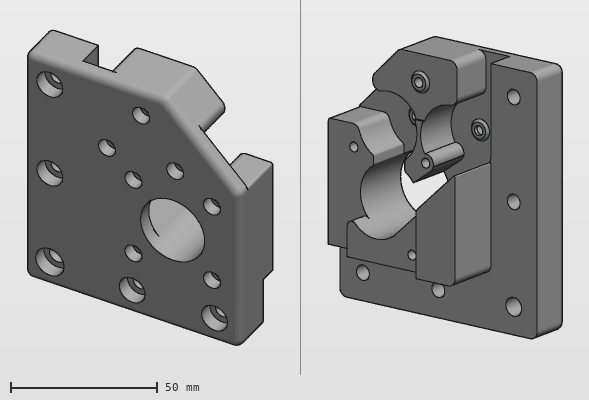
import cadquery as cq
import math

WIDTH = 85.0
HEIGHT = 95.0
CORNER_CUT = 29.9
EDGE_RADIUS = 3.0

FLOOR_Y = 5.5
LEDGE_Y = 16.1
UPPER_Y = 21.6
COLLAR_HEIGHT = 0.95
WALL_Y = UPPER_Y + COLLAR_HEIGHT
BLOCK_Y = 30.1
TOWER_Y = 36.0

LEDGE_WIDTH = 19.95

BORE_RADIUS = 12.6
BORE_CENTER = (58.5, 41.2)
LEFT_CENTER = (32.6, 66.4)
RIGHT_CENTER = (59.5, 66.4)

SLOT_RIGHT_X = 30.2
UPPER_RIGHT_X = 66.6
RIGHT_WALL_Z = 65.1
SMALL_RADIUS = 0.95
THROAT_LEFT_X = 52.1
THROAT_RIGHT_X = 65.55
RIB_TOP_Z = 71.4

SLOPE_ANGLE = 43.3
CREST_RADIUS = 0.5
BLOCK_RIGHT_X = 71.0
BLOCK_TIP_RADIUS = 2.0
TOWER_RIGHT_X = 36.9

SMALL_SCREW = (3.5, 6.65, 5.0)
LARGE_SCREW = (5.5, 10.2, 5.5)
CORNER_SCREW = (6.7, 11.1, 5.5)
MOTOR_PITCH = 31.0
LEDGE_HOLE_INSET = 10.1
LEDGE_HOLE_PITCH_X = 32.5
LEDGE_HOLE_PITCH_Z = 37.4
UPPER_HOLE = ((LEFT_CENTER[0] + RIGHT_CENTER[0]) / 2, 84.9)

COLLAR_BASE_RADIUS = 3.9
COLLAR_TOP_RADIUS = 2.9
MOTOR_BOSS_RADIUS = 3.3

CLEARANCE = 0.95
PICK_SIZE = 0.5

motor_holes = [
    (BORE_CENTER[0] + sx * MOTOR_PITCH / 2, BORE_CENTER[1] + sz * MOTOR_PITCH / 2)
    for sx in (-1, 1)
    for sz in (-1, 1)
]
rib_hole = motor_holes[1]


def plane_at(y):
    """XZ sketch plane at a given Y; a negative extrusion goes toward +Y."""
    return cq.Workplane(cq.Plane(origin=(0, y, 0), xDir=(1, 0, 0), normal=(0, -1, 0)))


def prism(points, y_start, y_end):
    return plane_at(y_start).polyline(points).close().extrude(y_start - y_end)


def box(x_start, x_end, z_start, z_end, y_start, y_end):
    corners = [(x_start, z_start), (x_end, z_start), (x_end, z_end), (x_start, z_end)]
    return prism(corners, y_start, y_end)


def cylinder(center, radius, y_start, y_end):
    return plane_at(y_start).center(*center).circle(radius).extrude(y_start - y_end)


def edge_near(x, z):
    """Selector for edges close to a point of the XZ plane."""
    low = (x - PICK_SIZE, -CLEARANCE, z - PICK_SIZE)
    high = (x + PICK_SIZE, TOWER_Y + CLEARANCE, z + PICK_SIZE)
    return cq.selectors.BoxSelector(low, high)


def circle_height(center, x, side):
    """Z of a chamber circle at a given X, on its upper (+1) or lower (-1) half."""
    return center[1] + side * math.sqrt(BORE_RADIUS**2 - (x - center[0]) ** 2)


def slope_z(x):
    """Z of the sloped face, which is tangent to the lower left of the bore."""
    angle = math.radians(SLOPE_ANGLE)
    touch_x = BORE_CENTER[0] - BORE_RADIUS * math.sin(angle)
    touch_z = BORE_CENTER[1] - BORE_RADIUS * math.cos(angle)
    return touch_z + (touch_x - x) * math.tan(angle)


slope_touch_x = BORE_CENTER[0] - BORE_RADIUS * math.sin(math.radians(SLOPE_ANGLE))
slope_touch = (slope_touch_x, slope_z(slope_touch_x))


def make_outline(y_end):
    corner_x = WIDTH - CORNER_CUT
    corner_z = HEIGHT - CORNER_CUT
    points = [(0, 0), (WIDTH, 0), (WIDTH, corner_z), (corner_x, HEIGHT), (0, HEIGHT)]
    return prism(points, 0, y_end).edges("|Y").fillet(EDGE_RADIUS)


def make_pocket():
    """Solid of the open pocket: three chambers, joined and opened to the top and to the right."""
    y_end = TOWER_Y
    top = HEIGHT + CLEARANCE
    angle = math.radians(SLOPE_ANGLE)
    boss_touch = (
        rib_hole[0] - MOTOR_BOSS_RADIUS * math.sin(angle),
        rib_hole[1] - MOTOR_BOSS_RADIUS * math.cos(angle),
    )
    corridor = [
        (LEDGE_WIDTH, LEFT_CENTER[1]),
        (LEDGE_WIDTH, slope_z(LEDGE_WIDTH)),
        slope_touch,
        BORE_CENTER,
        boss_touch,
        LEFT_CENTER,
    ]
    pocket = cylinder(LEFT_CENTER, LEFT_CENTER[0] - LEDGE_WIDTH, FLOOR_Y, y_end)
    pocket = pocket.union(prism(corridor, FLOOR_Y, y_end))
    pocket = pocket.union(cylinder(RIGHT_CENTER, BORE_RADIUS, FLOOR_Y, y_end))
    pocket = pocket.union(
        box(THROAT_LEFT_X, THROAT_RIGHT_X, BORE_CENTER[1], RIGHT_CENTER[1], FLOOR_Y, y_end)
    )
    pocket = pocket.union(cylinder(BORE_CENTER, BORE_RADIUS, FLOOR_Y, y_end))
    pocket = pocket.union(
        box(LEDGE_WIDTH, SLOT_RIGHT_X, LEFT_CENTER[1], top, FLOOR_Y, y_end)
    )
    pocket = pocket.union(
        box(UPPER_RIGHT_X, WIDTH + CLEARANCE, RIGHT_WALL_Z, top, FLOOR_Y, y_end)
    )

    right_wall_x = RIGHT_CENTER[0] + math.sqrt(
        BORE_RADIUS**2 - (RIGHT_WALL_Z - RIGHT_CENTER[1]) ** 2
    )
    for x, z in [
        (SLOT_RIGHT_X, circle_height(LEFT_CENTER, SLOT_RIGHT_X, 1)),
        (UPPER_RIGHT_X, circle_height(RIGHT_CENTER, UPPER_RIGHT_X, 1)),
        (right_wall_x, RIGHT_WALL_Z),
        (LEDGE_WIDTH, slope_z(LEDGE_WIDTH)),
    ]:
        pocket = pocket.edges(edge_near(x, z)).edges("|Y").fillet(EDGE_RADIUS)
    for x in (THROAT_LEFT_X, THROAT_RIGHT_X):
        for center, side in ((RIGHT_CENTER, -1), (BORE_CENTER, 1)):
            corner = edge_near(x, circle_height(center, x, side))
            pocket = pocket.edges(corner).edges("|Y").fillet(SMALL_RADIUS)
    return pocket


def make_housing():
    """Plate with its ledge and the raised walls around the pocket."""
    housing = make_outline(LEDGE_Y).faces("<Y").edges().fillet(EDGE_RADIUS)
    upper = box(SLOT_RIGHT_X, WIDTH, RIB_TOP_Z, HEIGHT, LEDGE_Y, UPPER_Y)
    walls = box(LEFT_CENTER[0], WIDTH, LEDGE_WIDTH, RIB_TOP_Z, LEDGE_Y, WALL_Y)
    raised = upper.union(walls).intersect(make_outline(WALL_Y))
    housing = housing.union(raised).cut(make_pocket())

    upper_corner_z = HEIGHT - (UPPER_RIGHT_X - (WIDTH - CORNER_CUT))
    for x, z, radius in [
        (SLOT_RIGHT_X, HEIGHT, EDGE_RADIUS),
        (UPPER_RIGHT_X, upper_corner_z, EDGE_RADIUS),
        (WIDTH, RIGHT_WALL_Z, SMALL_RADIUS),
    ]:
        housing = housing.edges(edge_near(x, z)).edges("|Y").fillet(radius)
    return housing


def make_block():
    """Raised block below the sloped face, with a taller tower at its left."""
    tip_x = BLOCK_RIGHT_X - BLOCK_TIP_RADIUS
    tip_reach = BORE_RADIUS + BLOCK_TIP_RADIUS
    tip_z = BORE_CENTER[1] - math.sqrt(tip_reach**2 - (tip_x - BORE_CENTER[0]) ** 2)
    tip = (tip_x, tip_z)
    crest = (LEDGE_WIDTH, slope_z(LEDGE_WIDTH))
    foot = (LEDGE_WIDTH, LEDGE_WIDTH)

    block = prism(
        [
            foot,
            (BLOCK_RIGHT_X, LEDGE_WIDTH),
            (BLOCK_RIGHT_X, tip_z),
            tip,
            BORE_CENTER,
            slope_touch,
            crest,
        ],
        LEDGE_Y,
        BLOCK_Y,
    ).cut(cylinder(BORE_CENTER, BORE_RADIUS, 0, TOWER_Y))
    block = block.union(cylinder(tip, BLOCK_TIP_RADIUS, LEDGE_Y, BLOCK_Y))

    shoulder = (TOWER_RIGHT_X, slope_z(TOWER_RIGHT_X))
    tower = prism([foot, (TOWER_RIGHT_X, LEDGE_WIDTH), shoulder, crest], BLOCK_Y, TOWER_Y)
    tower = tower.edges(edge_near(*shoulder)).edges("|Y").fillet(EDGE_RADIUS)

    block = block.union(tower)
    block = block.edges(edge_near(*crest)).edges("|Y").fillet(CREST_RADIUS)
    return block.edges(edge_near(*foot)).edges("|Y").fillet(EDGE_RADIUS)


def make_collar(center, y_start):
    """Tapered collar that stands around a screw hole."""
    return (
        plane_at(y_start)
        .center(*center)
        .circle(COLLAR_BASE_RADIUS)
        .workplane(offset=-COLLAR_HEIGHT)
        .circle(COLLAR_TOP_RADIUS)
        .loft()
    )


def cut_screw_holes(body, centers, screw):
    through, counterbore, depth = screw
    for center in centers:
        body = body.cut(cylinder(center, through / 2, 0, TOWER_Y))
        body = body.cut(cylinder(center, counterbore / 2, 0, depth))
    return body


inset = LEDGE_HOLE_INSET
ledge_holes = [
    (inset, inset + LEDGE_HOLE_PITCH_Z),
    (inset, inset + 2 * LEDGE_HOLE_PITCH_Z),
    (inset + LEDGE_HOLE_PITCH_X, inset),
    (inset + 2 * LEDGE_HOLE_PITCH_X, inset),
]

body = make_housing().union(make_block())
body = body.union(make_collar(UPPER_HOLE, UPPER_Y))
for chamber_center in (LEFT_CENTER, RIGHT_CENTER):
    body = body.union(make_collar(chamber_center, FLOOR_Y))
body = body.union(cylinder(rib_hole, MOTOR_BOSS_RADIUS, 0, WALL_Y))
body = body.cut(cylinder(BORE_CENTER, BORE_RADIUS, 0, TOWER_Y))
body = cut_screw_holes(body, motor_holes + [LEFT_CENTER, RIGHT_CENTER, UPPER_HOLE], SMALL_SCREW)
body = cut_screw_holes(body, ledge_holes, LARGE_SCREW)
result = cut_screw_holes(body, [(inset, inset)], CORNER_SCREW)